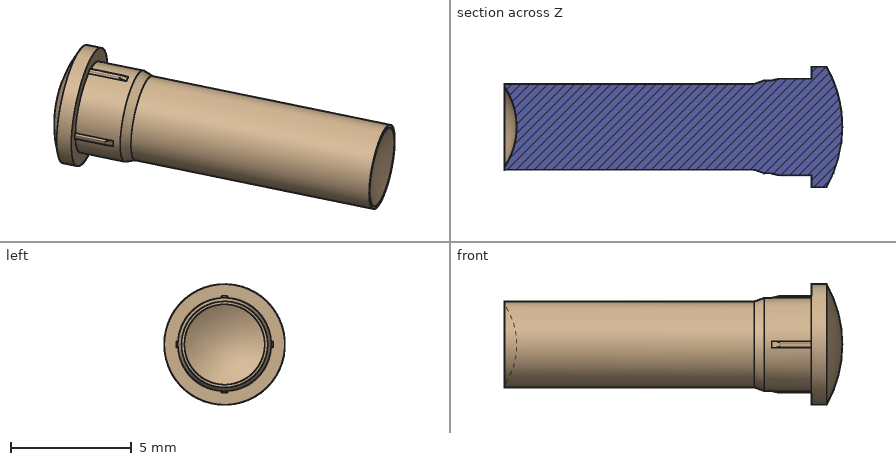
import cadquery as cq

overall_length = 13.97
head_radius = 2.5
head_rim_width = 0.63
dome_height = 0.66
neck_length = 1.94
cone_length = 0.42

stem_radius = 1.78
neck_radius = 1.93

dish_radius = 1.66
dish_depth = 0.5

rib_count = 4
rib_tip_radius = 2.005
rib_width = 0.28
rib_edge_radius = 0.07
rib_length = 1.64
rib_ramp_length = 0.33
rib_embed_depth = 0.15

rim_end_x = overall_length - dome_height
head_face_x = rim_end_x - head_rim_width
cone_end_x = head_face_x - neck_length
cone_start_x = cone_end_x - cone_length
rib_root_radius = neck_radius - rib_embed_depth


def sphere_radius(chord_radius, height):
    """Radius of the sphere whose cap has this base radius and height."""
    return (chord_radius**2 + height**2) / (2 * height)


def arc_midpoint(chord_radius, height):
    """Axial height above the base and radius of a point halfway out along a spherical cap."""
    sphere = sphere_radius(chord_radius, height)
    mid_radius = chord_radius / 2
    mid_height = (sphere**2 - mid_radius**2) ** 0.5 - (sphere - height)
    return mid_height, mid_radius


def make_body():
    """Revolve the whole pin profile, dish and dome included, about the X axis."""
    dome_mid_height, dome_mid_radius = arc_midpoint(head_radius, dome_height)
    dish_mid_depth, dish_mid_radius = arc_midpoint(dish_radius, dish_depth)
    return (
        cq.Workplane("XY")
        .moveTo(0, dish_radius)
        .lineTo(0, stem_radius)
        .lineTo(cone_start_x, stem_radius)
        .lineTo(cone_end_x, neck_radius)
        .lineTo(head_face_x, neck_radius)
        .lineTo(head_face_x, head_radius)
        .lineTo(rim_end_x, head_radius)
        .threePointArc((rim_end_x + dome_mid_height, dome_mid_radius), (overall_length, 0))
        .lineTo(dish_depth, 0)
        .threePointArc((dish_mid_depth, dish_mid_radius), (0, dish_radius))
        .close()
        .revolve(360, (0, 0, 0), (1, 0, 0))
    )


def make_rib():
    """One crush rib on the +Z side of the neck, running into the head."""
    start_x = head_face_x - rib_length
    rib_height = rib_tip_radius - rib_root_radius
    bar = (
        cq.Workplane("XY", origin=(start_x, 0, rib_root_radius))
        .box(rib_length, rib_width, rib_height, centered=(False, True, False))
        .edges("|X and >Z")
        .fillet(rib_edge_radius)
    )
    ramp = (
        cq.Workplane("XZ")
        .polyline(
            [
                (start_x, neck_radius),
                (start_x + rib_ramp_length, rib_tip_radius),
                (start_x, rib_tip_radius),
            ]
        )
        .close()
        .extrude(rib_width, both=True)
    )
    return bar.cut(ramp)


def add_ribs(body):
    """Join the ribs, evenly spaced around the axis, to the pin."""
    rib = make_rib()
    for index in range(rib_count):
        body = body.union(rib.rotate((0, 0, 0), (1, 0, 0), index * 360 / rib_count))
    return body


result = add_ribs(make_body())